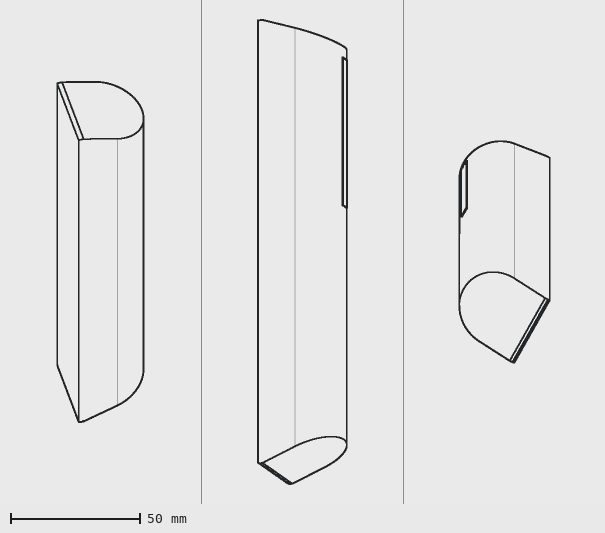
import cadquery as cq
import math

width = 29.0
bar_depth = 30.0
length = 180.0

end_land = 2.0
end_slope = 20.0

bevel_depth = 0.8
bevel_height = 0.4

strip_width = 4.0
strip_height = 0.3
strip_offset = -0.5
strip_bottom = 15.0
strip_top = 75.0

round_radius = width / 2
front_y = round_radius - bar_depth
back_y = round_radius + strip_height
half_length = length / 2


def make_bar():
    """D-shaped bar, with the round centred on the Z axis."""
    return (
        cq.Workplane("XY")
        .workplane(offset=-half_length)
        .moveTo(-round_radius, front_y)
        .lineTo(round_radius, front_y)
        .lineTo(round_radius, 0)
        .threePointArc((0, round_radius), (-round_radius, 0))
        .close()
        .extrude(length)
    )


def make_crest_strip():
    """Flat-topped strip, rooted inside the bar on the axis of the round."""
    return (
        cq.Workplane("XY")
        .workplane(offset=strip_bottom)
        .center(strip_offset, back_y / 2)
        .rect(strip_width, back_y)
        .extrude(strip_top - strip_bottom)
    )


def make_side_envelope():
    """Prism across X whose outline gives the two sloped ends."""
    land_y = front_y + end_land
    end_fall = (back_y - land_y) * math.tan(math.radians(end_slope))
    outline = [
        (front_y, bevel_height - half_length),
        (front_y + bevel_depth, -half_length),
        (land_y, -half_length),
        (back_y, end_fall - half_length),
        (back_y, half_length - end_fall),
        (land_y, half_length),
        (front_y, half_length),
    ]
    return cq.Workplane("YZ").polyline(outline).close().extrude(width / 2, both=True)


result = make_bar().union(make_crest_strip()).intersect(make_side_envelope())